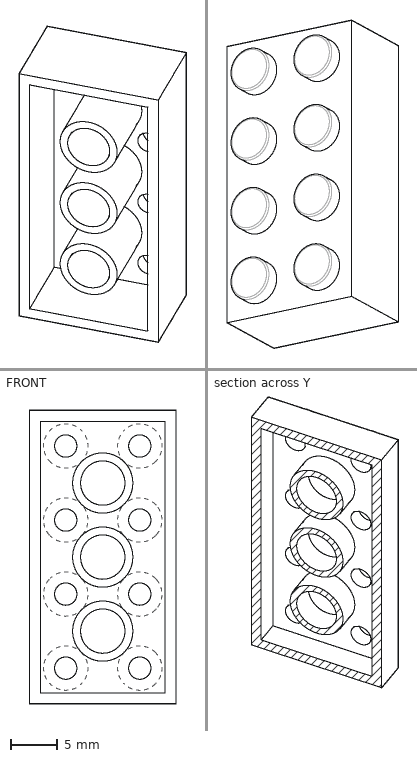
import cadquery as cq

columns = 2
rows = 4
pitch = 8.0
width = 15.88
length = 31.75
total_depth = 11.37
body_depth = 9.6
wall = 1.2
roof = 1.2
stud_diameter = 4.8
stud_edge_fillet = 0.2
tube_outer_diameter = 6.5
tube_inner_diameter = 4.8
pin_hole_diameter = 2.4
pin_hole_depth = 1.78

cavity_depth = body_depth - roof
stud_height = total_depth - body_depth


def cylinders(diameter, start, depth, column_count, row_count):
    """Grid of cylinders along +Y, centred on the brick axis."""
    return (
        cq.Workplane("XZ", origin=(0, start, 0))
        .rarray(pitch, pitch, column_count, row_count)
        .circle(diameter / 2)
        .extrude(-depth)
    )


def block(size_x, size_z, depth):
    """Rectangular block from the rim plane toward +Y."""
    return cq.Workplane("XZ").rect(size_x, size_z).extrude(-depth)


body = block(width, length, body_depth)
body = body.cut(block(width - 2 * wall, length - 2 * wall, cavity_depth))

studs = cylinders(stud_diameter, body_depth, stud_height, columns, rows)
studs = studs.faces(">Y").edges().fillet(stud_edge_fillet)
body = body.union(studs)

tubes = cylinders(tube_outer_diameter, 0, body_depth - roof / 2, columns - 1, rows - 1)
tube_bores = cylinders(tube_inner_diameter, 0, cavity_depth, columns - 1, rows - 1)
body = body.union(tubes).cut(tube_bores)

result = body.cut(cylinders(pin_hole_diameter, cavity_depth, pin_hole_depth, columns, rows))